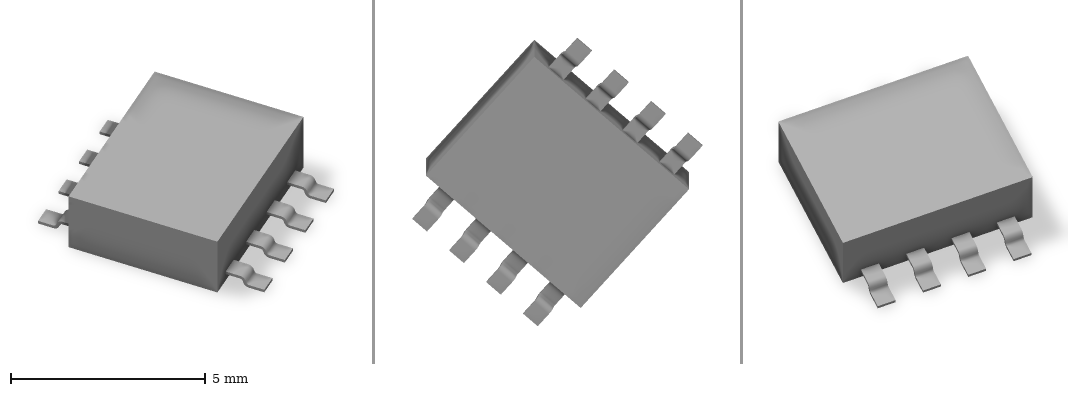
import cadquery as cq
import math

span_across_leads = 6.4
body_width = 4.21
body_length = 5.31
body_height = 1.75

leads_per_side = 4
lead_pitch = 1.27
lead_width = 0.5
lead_thickness = 0.09
lead_top_height = 0.315
foot_length = 0.435
bend_angle = 70.0
inner_bend_radius = 0.08
outer_bend_radius = inner_bend_radius + lead_thickness

marker_diameter = 0.21
marker_depth = 0.03
marker_edge_inset = 0.735

first_row_y = (leads_per_side - 1) * lead_pitch / 2
marker_x = -body_width / 2 + marker_edge_inset
marker_y = first_row_y


def make_marker():
    """Disc in line with the first pair of leads, its top level with the body."""
    return (
        cq.Workplane("XY", origin=(marker_x, marker_y, body_height - marker_depth))
        .circle(marker_diameter / 2)
        .extrude(marker_depth)
    )


def make_body():
    """Plain block standing on Z = 0 with a recess that holds the marker."""
    block = cq.Workplane("XY").box(body_width, body_length, body_height, centered=(True, True, False))
    return block.cut(make_marker())


def point_on_arc(center, radius, angle):
    """Point at an angle in degrees, counterclockwise from +X."""
    turn = math.radians(angle)
    return (center[0] + radius * math.cos(turn), center[1] + radius * math.sin(turn))


def make_left_lead(row_y):
    """Lead on the -X side: flat foot, S-bend up, and a shelf that meets the body."""
    foot_end_x = -span_across_leads / 2
    body_face_x = -body_width / 2
    shelf_bottom = lead_top_height - lead_thickness

    bend = math.radians(bend_angle)
    arcs_rise = (inner_bend_radius + outer_bend_radius) * (1 - math.cos(bend))
    slope_run = (shelf_bottom - arcs_rise) / math.tan(bend)
    bend_run = (inner_bend_radius + outer_bend_radius) * math.sin(bend) + slope_run

    lower_center = (foot_end_x + foot_length, lead_thickness + inner_bend_radius)
    upper_center = (lower_center[0] + bend_run, shelf_bottom - inner_bend_radius)
    lower_start = -90
    lower_middle = lower_start + bend_angle / 2
    lower_end = lower_start + bend_angle
    upper_start = 90
    upper_middle = upper_start + bend_angle / 2
    upper_end = upper_start + bend_angle

    profile = (
        cq.Workplane("XZ", origin=(0, row_y, 0))
        .moveTo(foot_end_x, 0)
        .lineTo(*point_on_arc(lower_center, outer_bend_radius, lower_start))
        .threePointArc(
            point_on_arc(lower_center, outer_bend_radius, lower_middle),
            point_on_arc(lower_center, outer_bend_radius, lower_end),
        )
        .lineTo(*point_on_arc(upper_center, inner_bend_radius, upper_end))
        .threePointArc(
            point_on_arc(upper_center, inner_bend_radius, upper_middle),
            point_on_arc(upper_center, inner_bend_radius, upper_start),
        )
        .lineTo(body_face_x, shelf_bottom)
        .lineTo(body_face_x, lead_top_height)
        .lineTo(*point_on_arc(upper_center, outer_bend_radius, upper_start))
        .threePointArc(
            point_on_arc(upper_center, outer_bend_radius, upper_middle),
            point_on_arc(upper_center, outer_bend_radius, upper_end),
        )
        .lineTo(*point_on_arc(lower_center, inner_bend_radius, lower_end))
        .threePointArc(
            point_on_arc(lower_center, inner_bend_radius, lower_middle),
            point_on_arc(lower_center, inner_bend_radius, lower_start),
        )
        .lineTo(foot_end_x, lead_thickness)
        .close()
    )
    return profile.extrude(lead_width / 2, both=True)


body = make_body()
marker = make_marker()

leads = []
for row in range(leads_per_side):
    left_lead = make_left_lead(first_row_y - row * lead_pitch)
    right_lead = left_lead.mirror("YZ")
    leads += [left_lead.val(), right_lead.val()]

result = cq.Compound.makeCompound([body.val(), marker.val(), *leads])